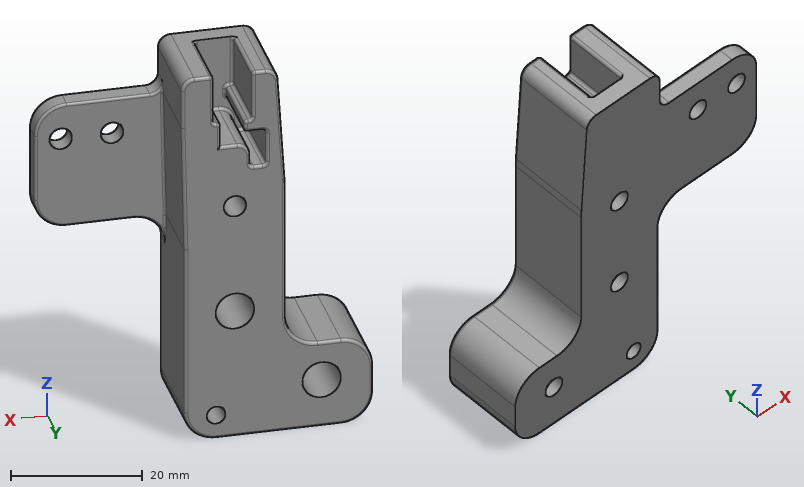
import cadquery as cq
import math

width = 49.9
height = 62.2
body_depth = 14.95
plate_thickness = 3.0

back_edge_radius = 0.5
plate_edge_radius = 0.4
junction_radius = 0.4

large_radius = 5.0
small_radius = 2.0
taper_radius = 25.0
foot_height = 14.5
column_left = 13.65
column_right = 29.45
head_left = 14.9
head_right = 29.9
taper_start = 42.4
flange_top = 53.9
flange_bottom = 32.95

channel_bottom = 50.0
channel_step = 54.0
mouth_left = 18.9
mouth_right = 24.95
neck_left = 20.1
neck_right = 23.8
mouth_radius = 0.55
step_radius = 0.55
channel_edge_radius = 0.5
lip_bottom = 52.0
well_left = 16.7
well_right = 19.2
well_bottom = 46.0
well_edge_radius = 2.0
tool_clearance = 2.0

screw_diameter = 3.5
pin_diameter = 2.9
counterbore_diameter = 6.0
counterbore_start = 2.0
column_hole_x = 21.55
column_hole_z = 21.5
column_hole_pitch = 18.0
flange_hole_x = 37.8
flange_hole_z = 48.0
flange_hole_pitch = 8.0
foot_hole = (8.0, 8.0)
pin_hole = (24.5, 4.0)


def rounded_prism(corners, start, end):
    """Extrude from y = start to y = end a polygon of (x, z, corner radius) points."""
    path = []
    count = len(corners)
    for index, (x, z, radius) in enumerate(corners):
        corner = cq.Vector(x, z)
        if radius == 0:
            path.append((corner, None, corner))
            continue
        before = cq.Vector(*corners[index - 1][:2])
        after = cq.Vector(*corners[(index + 1) % count][:2])
        to_before = (before - corner).normalized()
        to_after = (after - corner).normalized()
        half_angle = to_before.getAngle(to_after) / 2
        setback = radius / math.tan(half_angle)
        bisector = (to_before + to_after).normalized()
        middle = corner + bisector * (radius / math.sin(half_angle) - radius)
        path.append((corner + to_before * setback, middle, corner + to_after * setback))

    sketch = cq.Workplane("XZ", origin=(0, start, 0)).moveTo(path[0][2].x, path[0][2].y)
    for entry, middle, leave in path[1:] + path[:1]:
        sketch = sketch.lineTo(entry.x, entry.y)
        if middle is not None:
            sketch = sketch.threePointArc((middle.x, middle.y), (leave.x, leave.y))
    return sketch.close().extrude(start - end)


left_side = [
    (0, 0, large_radius),
    (0, foot_height, large_radius),
    (column_left, foot_height, large_radius),
    (column_left, taper_start, taper_radius),
    (head_left, height, small_radius),
    (head_right, height, small_radius),
]


def make_plate():
    """Thin plate with the full outline, flange included."""
    corners = left_side + [
        (head_right, flange_top, small_radius),
        (width, flange_top, large_radius),
        (width, flange_bottom, large_radius),
        (column_right, flange_bottom, large_radius),
        (column_right, 0, large_radius),
    ]
    plate = rounded_prism(corners, 0, plate_thickness)
    return plate.faces(">Y").edges().fillet(plate_edge_radius)


def make_channel():
    """Cutter for the channel: wide mouth, narrow neck, and a well in the floor under the left lip."""
    above = height + tool_clearance
    corners = [
        (mouth_left - tool_clearance, above, 0),
        (mouth_left - tool_clearance, height, 0),
        (mouth_left, height, mouth_radius),
        (mouth_left, channel_step, step_radius),
        (neck_left, channel_step, step_radius),
        (neck_left, lip_bottom, step_radius),
        (well_left, lip_bottom, step_radius),
        (well_left, well_bottom, step_radius),
        (well_right, well_bottom, step_radius),
        (well_right, channel_bottom, well_edge_radius),
        (neck_right, channel_bottom, 0),
        (neck_right, channel_step, step_radius),
        (mouth_right, channel_step, step_radius),
        (mouth_right, height, mouth_radius),
        (mouth_right + tool_clearance, height, 0),
        (mouth_right + tool_clearance, above, 0),
    ]
    channel = rounded_prism(corners, plate_thickness, body_depth)
    return channel.faces("<Y").edges().fillet(channel_edge_radius)


def make_body():
    """Deep block behind the head, column and foot, with the channel cut into it."""
    corners = left_side + [
        (head_right, flange_top, 0),
        (column_right, flange_bottom, 0),
        (column_right, 0, large_radius),
    ]
    body = rounded_prism(corners, 0, body_depth).cut(make_channel())
    return body.faces(">Y").edges().fillet(back_edge_radius)


def make_holes(centers, diameter, start=0):
    """Cutters for round holes that run from y = start out through the back."""
    sketch = cq.Workplane("XZ", origin=(0, start, 0)).pushPoints(centers)
    return sketch.circle(diameter / 2).extrude(start - body_depth)


lower_column_hole = (column_hole_x, column_hole_z)
upper_column_hole = (column_hole_x, column_hole_z + column_hole_pitch)
inner_flange_hole = (flange_hole_x, flange_hole_z)
outer_flange_hole = (flange_hole_x + flange_hole_pitch, flange_hole_z)
counterbored_holes = [foot_hole, lower_column_hole]
screw_holes = counterbored_holes + [upper_column_hole, inner_flange_hole, outer_flange_hole]


def join_plate_and_body():
    """Plate and body as one, with a fillet along the body's wall where the flange leaves it."""
    joined = make_plate().union(make_body())
    junction = cq.selectors.BoxSelector(
        (column_right, plate_thickness - junction_radius, flange_bottom),
        (head_right, plate_thickness + junction_radius, flange_top),
    )
    return joined.edges(junction).fillet(junction_radius)


bracket = join_plate_and_body()
bracket = bracket.cut(make_holes(screw_holes, screw_diameter))
bracket = bracket.cut(make_holes(counterbored_holes, counterbore_diameter, counterbore_start))
bracket = bracket.cut(make_holes([pin_hole], pin_diameter))
result = cq.Workplane(bracket.solids().val())